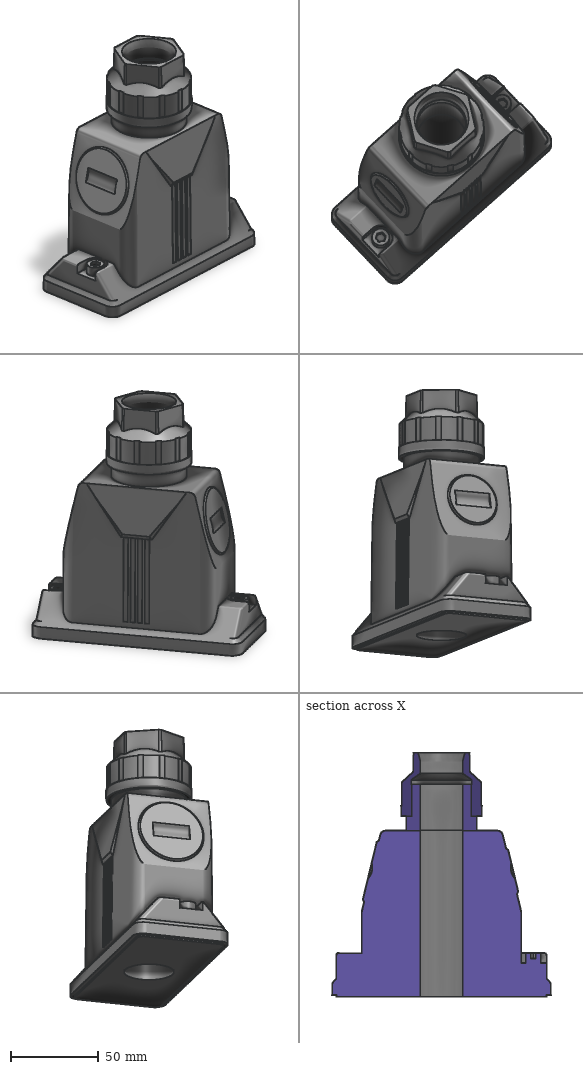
import cadquery as cq
import math

base_width = 57.0
base_length = 125.5
base_corner_radius = 6.2
base_edge_height = 7.9
base_draft = 1.2
lip_inset = 2.6
lip_height = 1.0
slope_angle = 40.6
bevel_top = 10.6

block_top = 25.2
block_end_fillet = 2.5
block_top_fillet = 1.6

screw_x = 5.6
screw_y = -52.4
screw_head_diameter = 10.0
screw_top = 25.0
socket_across_corners = 5.9
socket_depth = 3.0
pocket_radius = 6.9
pocket_floor = 19.5

hood_top = 95.2
hood_foot = 7.0
hood_foot_width = 51.0
hood_top_width = 48.7
hood_length = 91.3
hood_corner_radius = 7.6
lean_start = 48.8
lean_angle = 13.5
hood_top_fillet = 3.5

panel_top = 94.3
panel_bottom = 64.9
panel_top_width = 58.8
panel_bottom_width = 18.4
panel_projection = 26.0
panel_root_depth = 1.0
panel_bevel_height = 2.2
panel_bevel_angle = 60.0
slot_count = 4
slot_width = 2.7
slot_pitch = 4.25
slot_bottom = 14.6
slot_depth = 0.4

plug_height = 71.9
plug_thickness = 1.0
plug_bevel = 0.9
front_plug_diameter = 39.4
rear_plug_diameter = 31.2
coin_slot_length = 22.0
coin_slot_width = 9.0
coin_slot_depth = 1.2

bore_diameter = 28.5
neck_diameter = 43.4
neck_shoulder = 103.4
neck_spigot_diameter = 38.0
neck_top = 121.7

nut_top = 139.76
collar_diameter = 49.2
collar_edge = 1.2
collar_edge_step = 0.25
collar_top = 109.2
grip_diameter = 48.4
grip_top = 123.25
grip_top_bevel = 0.5
groove_count = 12
groove_width = 3.2
groove_depth = 0.45
cone_top = 129.0
cone_top_radius = 17.9
hex_across_flats = 36.6
hex_corner_diameter = 41.3
hex_draft = 1.5
mouth_diameter = 31.0
mouth_depth = 5.0
nut_bore_end = 127.8
nut_cavity_top = 124.0

slope_run = math.tan(math.radians(slope_angle))
lean_run = math.tan(math.radians(lean_angle))
rim_shrink = (base_edge_height - lip_height) * math.tan(math.radians(base_draft))
bevel_shrink = (bevel_top - base_edge_height) * slope_run
block_foot_half_width = base_width / 2 - rim_shrink - bevel_shrink
block_half_width = block_foot_half_width - (block_top - bevel_top) * slope_run
block_half_length = base_length / 2 - rim_shrink - bevel_shrink
hood_half_length = hood_length / 2


def wall_half_width(height):
    """Half width of the hood, across X, at a given height."""
    share = (height - hood_foot) / (hood_top - hood_foot)
    return (hood_foot_width + (hood_top_width - hood_foot_width) * share) / 2


def both_sides(shape):
    """The shape together with its copy turned half round Z."""
    return shape.union(shape.rotate((0, 0, 0), (0, 0, 1), 180))


def cylinder(diameter, bottom, top):
    return cq.Workplane("XY").workplane(offset=bottom).circle(diameter / 2).extrude(top - bottom)


def rounded_plate(width, length, radius, bottom, height, taper):
    outline = cq.Sketch().rect(width, length).vertices().fillet(radius)
    return cq.Workplane("XY").workplane(offset=bottom).placeSketch(outline).extrude(height, taper=taper)


def make_flange():
    lip = rounded_plate(
        base_width - 2 * lip_inset,
        base_length - 2 * lip_inset,
        base_corner_radius - lip_inset,
        0,
        lip_height,
        0,
    )
    rim = rounded_plate(
        base_width, base_length, base_corner_radius,
        lip_height, base_edge_height - lip_height, base_draft,
    )
    bevel = rounded_plate(
        base_width - 2 * rim_shrink,
        base_length - 2 * rim_shrink,
        base_corner_radius - rim_shrink,
        base_edge_height,
        bevel_top - base_edge_height,
        slope_angle,
    )
    return lip.union(rim).union(bevel)


def make_end_blocks():
    """One sloped ridge along the flange; the hood hides its middle."""
    ridge = (
        cq.Workplane("XZ")
        .polyline([
            (-block_foot_half_width, bevel_top),
            (block_foot_half_width, bevel_top),
            (block_half_width, block_top),
            (-block_half_width, block_top),
        ])
        .close()
        .extrude(block_half_length, both=True)
    )
    ridge = ridge.faces("<Y or >Y").edges("not |X").fillet(block_end_fillet)
    return ridge.faces(">Z").edges().fillet(block_top_fillet)


def make_screw_pocket():
    """U-shaped pocket, open towards the flange end."""
    depth = block_top - pocket_floor
    reach = base_length / 2 + screw_y
    floor = cq.Workplane("XY", origin=(screw_x, screw_y, pocket_floor))
    round_end = floor.circle(pocket_radius).extrude(depth)
    mouth = floor.center(0, -reach / 2).rect(2 * pocket_radius, reach).extrude(depth)
    return round_end.union(mouth)


def make_screw_head():
    head = cylinder(screw_head_diameter, pocket_floor, screw_top)
    socket = (
        cq.Workplane("XY")
        .workplane(offset=screw_top - socket_depth)
        .polygon(6, socket_across_corners)
        .extrude(socket_depth)
    )
    return head.cut(socket).translate((screw_x, screw_y, 0))


def make_hood():
    foot_half = hood_foot_width / 2
    top_half = hood_top_width / 2
    shell = (
        cq.Workplane("XZ")
        .polyline([
            (-foot_half, hood_foot),
            (foot_half, hood_foot),
            (top_half, hood_top),
            (-top_half, hood_top),
        ])
        .close()
        .extrude(hood_half_length, both=True)
    )
    shell = shell.faces("<Y or >Y").edges("not |X").fillet(hood_corner_radius)
    top_half_length = hood_half_length - (hood_top - lean_start) * lean_run
    end_profile = (
        cq.Workplane("YZ")
        .polyline([
            (-hood_half_length, hood_foot),
            (hood_half_length, hood_foot),
            (hood_half_length, lean_start),
            (top_half_length, hood_top),
            (-top_half_length, hood_top),
            (-hood_half_length, lean_start),
        ])
        .close()
        .extrude(base_width / 2, both=True)
    )
    end_profile = end_profile.faces(">Z").edges("|X").fillet(hood_top_fillet)
    return shell.intersect(end_profile)


def make_side_panel():
    """Panel on the +X wall: flush with it at the top, standing out at the bottom."""
    wall_bottom = wall_half_width(panel_bottom)
    wall_top = wall_half_width(panel_top)
    root = wall_top - panel_root_depth
    trapezoid = [
        (-panel_bottom_width / 2, panel_bottom),
        (panel_bottom_width / 2, panel_bottom),
        (panel_top_width / 2, panel_top),
        (-panel_top_width / 2, panel_top),
    ]
    buried = (
        cq.Workplane("YZ", origin=(root, 0, 0))
        .polyline(trapezoid)
        .close()
        .extrude(wall_bottom - root)
    )
    raised = (
        cq.Workplane("YZ", origin=(wall_bottom, 0, 0))
        .polyline(trapezoid)
        .close()
        .extrude(panel_projection - wall_bottom, taper=panel_bevel_angle)
    )
    slanted_face = (
        cq.Workplane("XZ")
        .polyline([
            (root, panel_bottom),
            (panel_projection, panel_bottom),
            (panel_projection, panel_bottom + panel_bevel_height),
            (wall_top, panel_top),
            (root, panel_top),
        ])
        .close()
        .extrude(panel_top_width / 2, both=True)
    )
    return buried.union(raised).intersect(slanted_face)


def make_side_slots():
    """Shallow upright slots below the panel on the +X wall, following its slant."""
    slots = cq.Workplane("XY")
    for index in range(slot_count):
        middle = (index - (slot_count - 1) / 2) * slot_pitch
        slot = (
            cq.Workplane("XZ", origin=(0, middle + slot_width / 2, 0))
            .polyline([
                (wall_half_width(slot_bottom) - slot_depth, slot_bottom),
                (panel_projection, slot_bottom),
                (panel_projection, panel_bottom),
                (wall_half_width(panel_bottom) - slot_depth, panel_bottom),
            ])
            .close()
            .extrude(slot_width)
        )
        slots = slots.union(slot)
    return slots


def place_on_front_wall(shape):
    """Move a shape built on the XZ plane, facing -Y, onto the leaning front wall."""
    wall_y = hood_half_length - (plug_height - lean_start) * lean_run
    return shape.rotate((0, 0, 0), (1, 0, 0), -lean_angle).translate((0, -wall_y, plug_height))


def make_plug(diameter):
    """Round plug with a bevelled rim, seated flat on the leaning wall."""
    plug = cq.Workplane("XZ").circle(diameter / 2).extrude(plug_thickness)
    return place_on_front_wall(plug.faces("<Y").edges().chamfer(plug_bevel))


def make_coin_slot():
    """Slot with an arched floor, cut into a plug's face."""
    half = coin_slot_width / 2
    slot = (
        cq.Workplane("YZ", origin=(-coin_slot_length / 2, -plug_thickness, 0))
        .moveTo(0, -half)
        .threePointArc((coin_slot_depth, 0), (0, half))
        .close()
        .extrude(coin_slot_length)
    )
    return place_on_front_wall(slot)


def make_housing():
    flange = make_flange().union(make_end_blocks())
    flange = flange.cut(both_sides(make_screw_pocket()))
    hood = make_hood().union(both_sides(make_side_panel()))
    hood = hood.cut(both_sides(make_side_slots()))
    hood = hood.union(make_plug(front_plug_diameter))
    hood = hood.union(make_plug(rear_plug_diameter).rotate((0, 0, 0), (0, 0, 1), 180))
    hood = hood.cut(both_sides(make_coin_slot()))
    body = flange.union(hood).union(both_sides(make_screw_head()))
    return body.cut(cylinder(bore_diameter, 0, hood_top))


def make_neck():
    wide_part = cylinder(neck_diameter, hood_top, neck_shoulder)
    spigot = cylinder(neck_spigot_diameter, neck_shoulder, neck_top)
    return wide_part.union(spigot).cut(cylinder(bore_diameter, hood_top, neck_top))


def revolve_profile(points):
    """Solid of revolution round Z from (radius, height) points."""
    return cq.Workplane("XZ").polyline(points).close().revolve(360, (0, 0, 0), (0, 1, 0))


def make_nut_barrel():
    """Collar, grip and cone, with the finger grooves cut into the grip."""
    barrel = revolve_profile([
        (0, neck_shoulder),
        (collar_diameter / 2 - collar_edge_step, neck_shoulder),
        (collar_diameter / 2, neck_shoulder + collar_edge),
        (collar_diameter / 2, collar_top),
        (grip_diameter / 2, collar_top),
        (grip_diameter / 2, grip_top - grip_top_bevel),
        (grip_diameter / 2 - grip_top_bevel, grip_top),
        (cone_top_radius, cone_top),
        (0, cone_top),
    ])
    groove = (
        cq.Workplane("XY", origin=(grip_diameter / 2, 0, collar_top))
        .rect(2 * groove_depth, groove_width)
        .extrude(cone_top - collar_top)
    )
    for index in range(groove_count):
        barrel = barrel.cut(groove.rotate((0, 0, 0), (0, 0, 1), index * 360 / groove_count))
    return barrel


def make_nut_hexagon():
    """Drafted hexagon with a corner on the Y axis and rounded corners."""
    across_corners = hex_across_flats / math.cos(math.pi / 6)
    height = nut_top - grip_top
    start = cq.Workplane("XY").workplane(offset=grip_top)
    prism = start.transformed(rotate=(0, 0, 90)).polygon(6, across_corners).extrude(height, taper=hex_draft)
    return prism.intersect(start.circle(hex_corner_diameter / 2).extrude(height, taper=hex_draft))


def make_nut():
    bore = revolve_profile([
        (0, neck_shoulder),
        (neck_spigot_diameter / 2, neck_shoulder),
        (neck_spigot_diameter / 2, nut_cavity_top),
        (bore_diameter / 2, nut_bore_end),
        (bore_diameter / 2, nut_top - mouth_depth),
        (mouth_diameter / 2, nut_top),
        (0, nut_top),
    ])
    return make_nut_barrel().union(make_nut_hexagon()).cut(bore)


housing = make_housing()
gland_neck = make_neck()
gland_nut = make_nut()

result = cq.Compound.makeCompound([housing.val(), gland_neck.val(), gland_nut.val()])